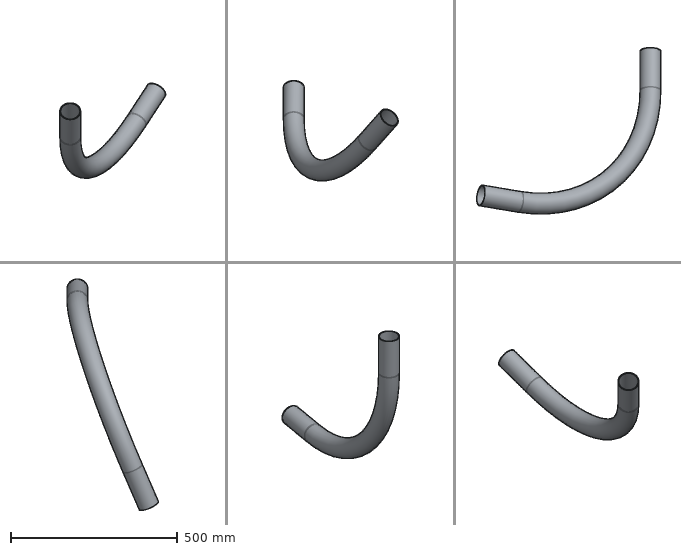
import cadquery as cq

outer_diameter = 63.5
inner_diameter = 57.4

leg_length = 127.0
bend_radius = 431.8
bend_angle = 90.0


def tube_section(plane):
    """Annular tube cross-section centred on the given plane."""
    return cq.Workplane(plane).circle(outer_diameter / 2).circle(inner_diameter / 2)


def vertical_leg():
    """Straight leg rising along +Z from the upper end of the bend."""
    return tube_section(cq.Plane.XY(origin=(0, 0, bend_radius))).extrude(leg_length)


def horizontal_leg():
    """Straight leg running along +Y from the lower end of the bend."""
    return tube_section(cq.Plane.XZ(origin=(0, bend_radius, 0))).extrude(-leg_length)


def bend():
    """Quarter bend tangent to both legs, revolved about an X-parallel axis."""
    section = tube_section(cq.Plane.XY(origin=(0, 0, bend_radius)))
    return section.revolve(bend_angle, (0, bend_radius, 0), (1, bend_radius, 0))


result = bend().union(vertical_leg()).union(horizontal_leg())